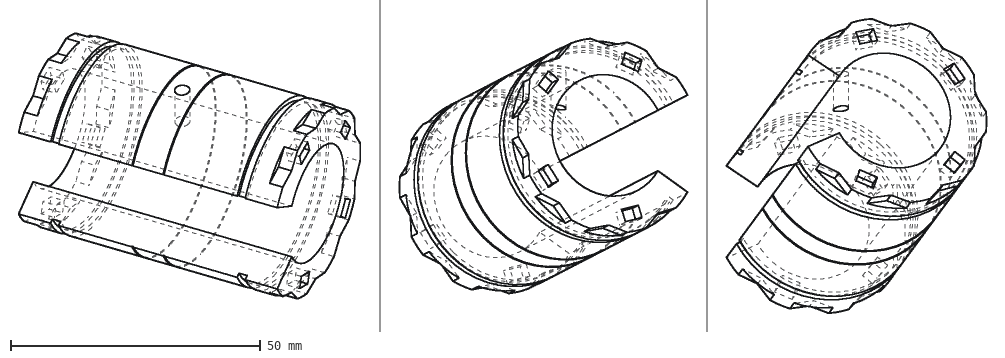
import cadquery as cq
import math

length = 58.0
outer_radius = 20.0
bore_radius = 12.45
opening_half_angle = 30.0

ring_groove_width = 1.8
ring_groove_depth = 1.0
ring_groove_offset = 7.2

band_width = 6.95
band_groove_width = 0.2
band_groove_depth = 0.1

notch_pitch = 36.0
notch_count = 8
notch_root_radius = 18.5
notch_flank_angle = 15.0
notch_length = 2.95

pocket_pitch = 72.0
pocket_count = 4
pocket_radius = 16.4
pocket_width = 3.8
pocket_height = 2.6
pocket_depth = 2.95

hole_diameter = 3.0
hole_y = -1.9

half_length = length / 2
end_sides = (-1, 1)


def ring(center_x, width, depth):
    """Ring that cuts a groove of the given depth into the outer surface."""
    return (
        cq.Workplane("YZ", origin=(center_x - width / 2, 0, 0))
        .circle(outer_radius + depth)
        .circle(outer_radius - depth)
        .extrude(width)
    )


def turn_from_opening(shape, angle):
    """Turn a cutter made at +Y about the X axis, to an angle measured from -Y."""
    return shape.rotate((0, 0, 0), (1, 0, 0), 180 - angle)


def end_block(profile, side, depth):
    """Extrude a YZ profile inward from one end face."""
    return profile.extrude(-side * depth)


def end_plane(side):
    return cq.Workplane("YZ", origin=(side * half_length, 0, 0))


def notch(side):
    """V cutter at +Y, with its root on the notch root radius."""
    rise = outer_radius - notch_root_radius
    half_width = rise / math.tan(math.radians(notch_flank_angle))
    profile = end_plane(side).polyline(
        [
            (notch_root_radius, 0),
            (outer_radius, half_width),
            (outer_radius, -half_width),
        ]
    )
    return end_block(profile.close(), side, notch_length)


def pocket(side):
    """Rectangular cutter at +Y."""
    profile = end_plane(side).center(pocket_radius, 0).rect(pocket_height, pocket_width)
    return end_block(profile, side, pocket_depth)


body = end_plane(-1).circle(outer_radius).circle(bore_radius).extrude(length)
opening_reach = 2 * outer_radius
opening_half_width = opening_reach * math.tan(math.radians(opening_half_angle))
opening = (
    end_plane(-1)
    .polyline(
        [
            (0, 0),
            (-opening_reach, opening_half_width),
            (-opening_reach, -opening_half_width),
        ]
    )
    .close()
    .extrude(length)
)
body = body.cut(opening)

for side in end_sides:
    groove_x = side * (half_length - ring_groove_offset - ring_groove_width / 2)
    body = body.cut(ring(groove_x, ring_groove_width, ring_groove_depth))
    body = body.cut(ring(side * band_width / 2, band_groove_width, band_groove_depth))

    first_notch_angle = 180 - notch_pitch * (notch_count - 1) / 2
    for index in range(notch_count):
        angle = first_notch_angle + index * notch_pitch
        body = body.cut(turn_from_opening(notch(side), angle))

    first_pocket_angle = 180 - pocket_pitch * (pocket_count - 1) / 2
    for index in range(pocket_count):
        angle = first_pocket_angle + index * pocket_pitch
        body = body.cut(turn_from_opening(pocket(side), angle))

hole = (
    cq.Workplane("XY")
    .center(0, hole_y)
    .circle(hole_diameter / 2)
    .extrude(outer_radius)
)
result = body.cut(hole)